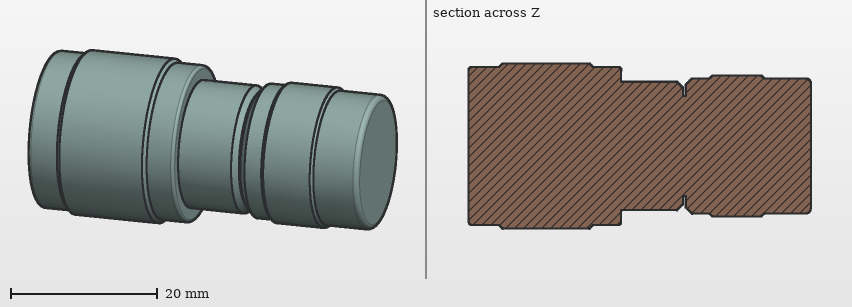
import cadquery as cq

TOTAL_LENGTH = 46.74

SLEEVE_LENGTH = 20.88
SLEEVE_RADIUS = 10.8
SLEEVE_EDGE_FILLET = 0.45
SLEEVE_BAND_START = 4.17
SLEEVE_BAND_END = 17.0
SLEEVE_BAND_RADIUS = 22.61 / 2

BARREL_END = 29.3
BARREL_RADIUS = 8.8
BARREL_CHAMFER = 0.85

GROOVE_RADIUS = 6.85

NUT_START = 29.63
NUT_RADIUS = 9.25
NUT_CHAMFER = 0.88
NUT_END_FILLET = 0.75
NUT_BAND_START = 32.9
NUT_BAND_END = 40.35
NUT_BAND_RADIUS = 9.65


def cylinder(start, end, radius):
    """Solid cylinder along X between two stations."""
    return cq.Workplane("YZ", origin=(start, 0, 0)).circle(radius).extrude(end - start)


def grip_band(start, end, base_radius, radius):
    """Raised band whose 45 degree chamfers run down to the body it sits on."""
    return cylinder(start, end, radius).edges().chamfer(radius - base_radius)


def make_sleeve():
    body = cylinder(0, SLEEVE_LENGTH, SLEEVE_RADIUS).edges().fillet(SLEEVE_EDGE_FILLET)
    band = grip_band(SLEEVE_BAND_START, SLEEVE_BAND_END, SLEEVE_RADIUS, SLEEVE_BAND_RADIUS)
    return body.union(band)


def make_barrel():
    barrel = cylinder(SLEEVE_LENGTH, BARREL_END, BARREL_RADIUS)
    return barrel.faces(">X").edges().chamfer(BARREL_CHAMFER)


def make_nut():
    body = cylinder(NUT_START, TOTAL_LENGTH, NUT_RADIUS)
    body = body.faces("<X").edges().chamfer(NUT_CHAMFER)
    body = body.faces(">X").edges().fillet(NUT_END_FILLET)
    band = grip_band(NUT_BAND_START, NUT_BAND_END, NUT_RADIUS, NUT_BAND_RADIUS)
    return body.union(band)


groove_core = cylinder(BARREL_END, NUT_START, GROOVE_RADIUS)
result = make_sleeve().union(make_barrel()).union(groove_core).union(make_nut())